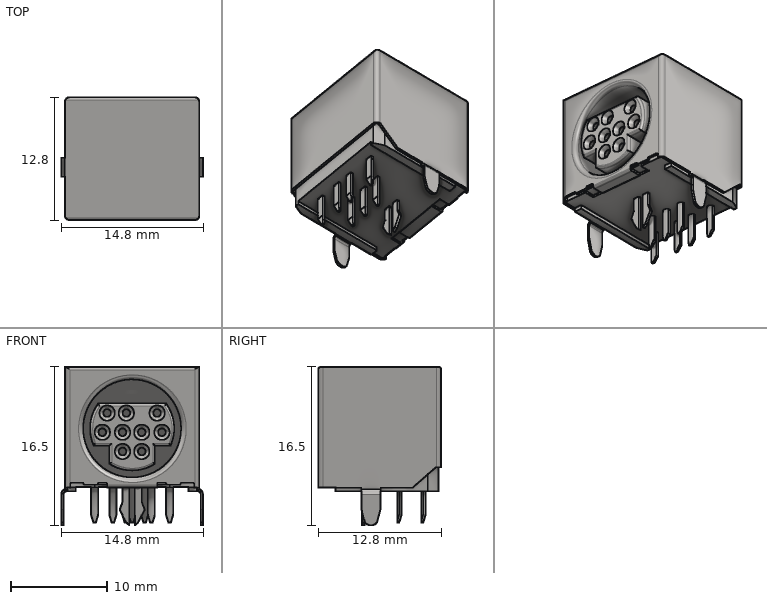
import cadquery as cq
import math

SHELL_W = 14.0
SHELL_D = 12.8
SHELL_H = 12.55
SHEET = 0.25
CORNER_R = 0.5
TOP_EDGE_R = 0.27
FRONT_Y = -SHELL_D / 2
BACK_Y = SHELL_D / 2
CORE_HALF_W = SHELL_W / 2 - SHEET
CORE_FRONT_Y = FRONT_Y + SHEET
CORE_BACK_Y = BACK_Y - SHEET

REAR_OPEN_H = 2.1
REAR_SLOPE_TOP_INSET = 0.55
REAR_SLOPE_END_INSET = 2.95

CORE_BOTTOM_Z = 0.05
CORE_CHAMFER_X = 0.5
CORE_CHAMFER_Y = 1.15
RECESS_HALF_W = 3.9
FOOT_W = 0.9
FOOT_H = 0.4
FOOT_FRONT_INSET = 1.8

FLAP_HALF_W = 2.6
FLAP_LEN = 1.5
FLAP_BEND_R = 0.27
EDGE_RAISE = 0.3
NOTCH_RAISE = 0.52
NOTCH_SLOPE = 0.12
INNER_NOTCH_END = 3.6
OUTER_NOTCH_START = 5.0
OUTER_NOTCH_END = 6.45

SOCKET_Z = 6.15
SOCKET_R = 5.1
SOCKET_LIP_R = 0.5
SOCKET_DEPTH = 6.0
KEY_R = 4.38
KEY_TOP = 2.6
KEY_STEP = -1.8
KEY_STEM_HALF_W = 2.38
KEY_EDGE_R = 0.25
CONTACT_R = 0.4
CONTACT_MOUTH_R = 0.8
CONTACT_MOUTH_DEPTH = 0.5
CONTACT_DEPTH = 4.0
CONTACT_ROWS = (
    (1.6, (-2.6, -0.6, 2.6)),
    (-0.4, (-3.1, -1.0, 1.0, 3.1)),
    (-2.4, (-1.0, 1.0)),
)

PIN_W = 0.76
PIN_T = 0.48
PIN_CROWN = 0.2
PIN_TIP_W = 0.27
PIN_TIP_T = 0.22
PIN_LEN = 3.65
PIN_TAPER_Z = -2.85
PIN_ROOT = 0.5
PIN_ROWS = (
    (2.08, (-3.9, -0.65, 1.3, 3.9)),
    (4.58, (-2.0, 0.0, 2.0)),
)

LEG_LEN = 3.95
LOCK_Y = FRONT_Y + 4.55
LOCK_T = 0.3
LOCK_SLOT_HALF_W = 0.28
LOCK_STEM_HALF_W = 0.98
LOCK_BARB_HALF_W = 1.31
LOCK_STEM_Z = -1.45
LOCK_BARB_Z = -2.3
LOCK_NOSE_HALF_W = 0.62
LOCK_NOSE_Z = -3.65
TAB_SPAN = 14.75
TAB_W = 2.0
TAB_Y = FRONT_Y + 5.5
TAB_BEND_TOP_Z = -0.18
TAB_BEND_LOW_Z = -0.7
TAB_TAPER_Z = -2.25
TAB_NOSE_Z = -3.6
TAB_NOSE_W = 1.3


def box(x0, x1, y0, y1, z0, z1):
    return cq.Workplane("XY").box(x1 - x0, y1 - y0, z1 - z0, centered=False).translate((x0, y0, z0))


def extrude_x(profile_yz, x0, x1):
    return cq.Workplane("YZ").polyline(profile_yz).close().extrude(x1 - x0).translate((x0, 0, 0))


def extrude_y(profile_xz, y0, y1):
    return cq.Workplane("XZ").polyline(profile_xz).close().extrude(y0 - y1).translate((0, y0, 0))


def both_sides(solid):
    return solid.union(solid.mirror("YZ"))


def make_shell():
    """Sheet-metal cover, open underneath and at the rear lower edge."""
    plan = cq.Workplane("XY").rect(SHELL_W, SHELL_D).extrude(SHELL_H).edges("|Z").fillet(CORNER_R)
    side = box(-SHELL_W / 2, SHELL_W / 2, FRONT_Y, BACK_Y, 0, SHELL_H)
    side = side.edges("|X and >Z").fillet(TOP_EDGE_R)
    cavity = box(-CORE_HALF_W, CORE_HALF_W, CORE_FRONT_Y, CORE_BACK_Y, 0, SHELL_H - SHEET)
    rear_opening = extrude_x(
        [
            (BACK_Y, 0),
            (BACK_Y, REAR_OPEN_H),
            (BACK_Y - REAR_SLOPE_TOP_INSET, REAR_OPEN_H),
            (BACK_Y - REAR_SLOPE_END_INSET, 0),
        ],
        -SHELL_W / 2,
        SHELL_W / 2,
    )
    return plan.intersect(side).cut(cavity).cut(rear_opening)


def make_front_relief():
    """Cut-out along the foot of the front wall, with two raised notches on each side of the flap."""
    outline = [
        (0, 0),
        (0, EDGE_RAISE),
        (FLAP_HALF_W, EDGE_RAISE),
        (FLAP_HALF_W, NOTCH_RAISE - NOTCH_SLOPE),
        (FLAP_HALF_W + NOTCH_SLOPE, NOTCH_RAISE),
        (INNER_NOTCH_END - NOTCH_SLOPE, NOTCH_RAISE),
        (INNER_NOTCH_END, EDGE_RAISE),
        (OUTER_NOTCH_START, EDGE_RAISE),
        (OUTER_NOTCH_START + NOTCH_SLOPE, NOTCH_RAISE),
        (OUTER_NOTCH_END - NOTCH_SLOPE, NOTCH_RAISE),
        (OUTER_NOTCH_END, NOTCH_RAISE - NOTCH_SLOPE),
        (OUTER_NOTCH_END, 0),
    ]
    return both_sides(extrude_y(outline, FRONT_Y, CORE_FRONT_Y))


def make_flap():
    """Tongue bent from the front wall under the core."""
    flap = box(-FLAP_HALF_W, FLAP_HALF_W, FRONT_Y, FRONT_Y + FLAP_LEN, 0, EDGE_RAISE)
    return flap.edges("|X and <Y and <Z").fillet(FLAP_BEND_R)


def make_core():
    """Insulating block with two feet, chamfered rear corners and a recess for the flap."""
    core = box(-CORE_HALF_W, CORE_HALF_W, CORE_FRONT_Y, CORE_BACK_Y, CORE_BOTTOM_Z, SHELL_H - SHEET)
    recess = box(
        -RECESS_HALF_W, RECESS_HALF_W, CORE_FRONT_Y, FRONT_Y + FLAP_LEN, CORE_BOTTOM_Z, EDGE_RAISE
    )
    foot = box(
        CORE_HALF_W - FOOT_W, CORE_HALF_W, FRONT_Y + FOOT_FRONT_INSET, CORE_BACK_Y, -FOOT_H, SHEET
    )
    corner = (
        cq.Workplane("XY")
        .moveTo(CORE_HALF_W, CORE_BACK_Y)
        .lineTo(CORE_HALF_W - CORE_CHAMFER_X, CORE_BACK_Y)
        .lineTo(CORE_HALF_W, CORE_BACK_Y - CORE_CHAMFER_Y)
        .close()
        .extrude(SHELL_H + FOOT_H)
        .translate((0, 0, -FOOT_H))
    )
    return core.cut(recess).union(both_sides(foot)).cut(both_sides(corner))


def socket_cylinder(radius, depth):
    return cq.Workplane("XZ", origin=(0, FRONT_Y, SOCKET_Z)).circle(radius).extrude(-depth)


def make_key():
    """T-shaped contact carrier standing in the socket, flush with the front face."""
    back_y = FRONT_Y + SOCKET_DEPTH
    step_z = SOCKET_Z + KEY_STEP
    head = box(-KEY_R, KEY_R, FRONT_Y, back_y, step_z, SOCKET_Z + KEY_TOP)
    stem = box(-KEY_STEM_HALF_W, KEY_STEM_HALF_W, FRONT_Y, back_y, SOCKET_Z - KEY_R, step_z)
    key = head.union(stem).intersect(socket_cylinder(KEY_R, SOCKET_DEPTH))
    return key.faces("<Y").edges().fillet(KEY_EDGE_R)


def make_socket():
    """Annular space around the key, with a rounded mouth."""
    mouth_r = SOCKET_R + SOCKET_LIP_R
    lip_y = FRONT_Y + SOCKET_LIP_R
    diagonal = SOCKET_LIP_R * (1 - math.sqrt(0.5))
    back_y = FRONT_Y + SOCKET_DEPTH
    bore = (
        cq.Workplane("XY")
        .moveTo(0, FRONT_Y)
        .lineTo(mouth_r, FRONT_Y)
        .threePointArc((SOCKET_R + diagonal, FRONT_Y + diagonal), (SOCKET_R, lip_y))
        .lineTo(SOCKET_R, back_y)
        .lineTo(0, back_y)
        .close()
        .revolve(360, (0, 0, 0), (0, 1, 0))
        .translate((0, 0, SOCKET_Z))
    )
    return bore.cut(make_key())


def make_contact_hole(x, z):
    profile = [
        (0, FRONT_Y),
        (CONTACT_MOUTH_R, FRONT_Y),
        (CONTACT_R, FRONT_Y + CONTACT_MOUTH_DEPTH),
        (CONTACT_R, FRONT_Y + CONTACT_DEPTH),
        (0, FRONT_Y + CONTACT_DEPTH),
    ]
    hole = cq.Workplane("XY").polyline(profile).close().revolve(360, (0, 0, 0), (0, 1, 0))
    return hole.translate((x, 0, z))


def make_pin(x, front_y):
    """Pin with a crowned front, narrowed to its tip from both sides and from the rear."""
    half_w = PIN_W / 2
    rear_y = front_y + PIN_T
    pin = (
        cq.Workplane("XY")
        .moveTo(-half_w, rear_y)
        .lineTo(-half_w, front_y + PIN_CROWN)
        .threePointArc((0, front_y), (half_w, front_y + PIN_CROWN))
        .lineTo(half_w, rear_y)
        .close()
        .extrude(PIN_ROOT + PIN_LEN)
        .translate((0, 0, -PIN_LEN))
    )
    width_taper = extrude_y(
        [
            (-half_w, PIN_ROOT),
            (half_w, PIN_ROOT),
            (half_w, PIN_TAPER_Z),
            (PIN_TIP_W / 2, -PIN_LEN),
            (-PIN_TIP_W / 2, -PIN_LEN),
            (-half_w, PIN_TAPER_Z),
        ],
        front_y,
        rear_y,
    )
    depth_taper = extrude_x(
        [
            (front_y, PIN_ROOT),
            (rear_y, PIN_ROOT),
            (rear_y, PIN_TAPER_Z),
            (front_y + PIN_TIP_T, -PIN_LEN),
            (front_y, -PIN_LEN),
        ],
        -half_w,
        half_w,
    )
    return pin.intersect(width_taper).intersect(depth_taper).translate((x, 0, 0))


def make_board_lock():
    """Pair of barbed prongs separated by a slot."""
    prong = extrude_y(
        [
            (LOCK_SLOT_HALF_W, SHEET),
            (LOCK_STEM_HALF_W, SHEET),
            (LOCK_STEM_HALF_W, LOCK_STEM_Z),
            (LOCK_BARB_HALF_W, LOCK_BARB_Z),
            (LOCK_NOSE_HALF_W, LOCK_NOSE_Z),
            (LOCK_SLOT_HALF_W, -LEG_LEN),
        ],
        LOCK_Y,
        LOCK_Y + LOCK_T,
    )
    return both_sides(prong)


def make_ground_tabs():
    """Tabs jogged outwards from the side walls, with rounded ends."""
    outer_x = TAB_SPAN / 2
    wall_x = SHELL_W / 2
    bend_out = outer_x - wall_x
    bend_h = TAB_BEND_TOP_Z - TAB_BEND_LOW_Z
    outer_r = (bend_out**2 + bend_h**2) / (2 * bend_out)
    inner_r = outer_r - SHEET
    bend_angle = math.asin(bend_h / outer_r)

    def on_bend(radius, angle):
        x = outer_x - outer_r + radius * math.cos(angle)
        return (x, TAB_BEND_LOW_Z + radius * math.sin(angle))

    strip = (
        cq.Workplane("XZ")
        .moveTo(wall_x - SHEET, SHEET)
        .lineTo(wall_x, SHEET)
        .lineTo(wall_x, TAB_BEND_TOP_Z)
        .threePointArc(on_bend(outer_r, bend_angle / 2), on_bend(outer_r, 0))
        .lineTo(outer_x, -LEG_LEN)
        .lineTo(outer_x - SHEET, -LEG_LEN)
        .lineTo(*on_bend(inner_r, 0))
        .threePointArc(on_bend(inner_r, bend_angle / 2), on_bend(inner_r, bend_angle))
        .lineTo(wall_x - SHEET, TAB_BEND_TOP_Z)
        .close()
        .extrude(TAB_W / 2, both=True)
        .translate((0, TAB_Y, 0))
    )
    outline = (
        cq.Workplane("YZ")
        .moveTo(-TAB_W / 2, SHEET)
        .lineTo(-TAB_W / 2, TAB_TAPER_Z)
        .lineTo(-TAB_NOSE_W / 2, TAB_NOSE_Z)
        .threePointArc((0, -LEG_LEN), (TAB_NOSE_W / 2, TAB_NOSE_Z))
        .lineTo(TAB_W / 2, TAB_TAPER_Z)
        .lineTo(TAB_W / 2, SHEET)
        .close()
        .extrude(TAB_SPAN)
        .translate((0, TAB_Y, 0))
    )
    return both_sides(strip.intersect(outline))


body = make_shell().cut(make_front_relief()).union(make_core()).union(make_flap())
body = body.cut(make_socket())
for row_z, row_xs in CONTACT_ROWS:
    for contact_x in row_xs:
        body = body.cut(make_contact_hole(contact_x, SOCKET_Z + row_z))
for rear_distance, row_xs in PIN_ROWS:
    for pin_x in row_xs:
        body = body.union(make_pin(pin_x, BACK_Y - rear_distance))
result = body.union(make_board_lock()).union(make_ground_tabs())